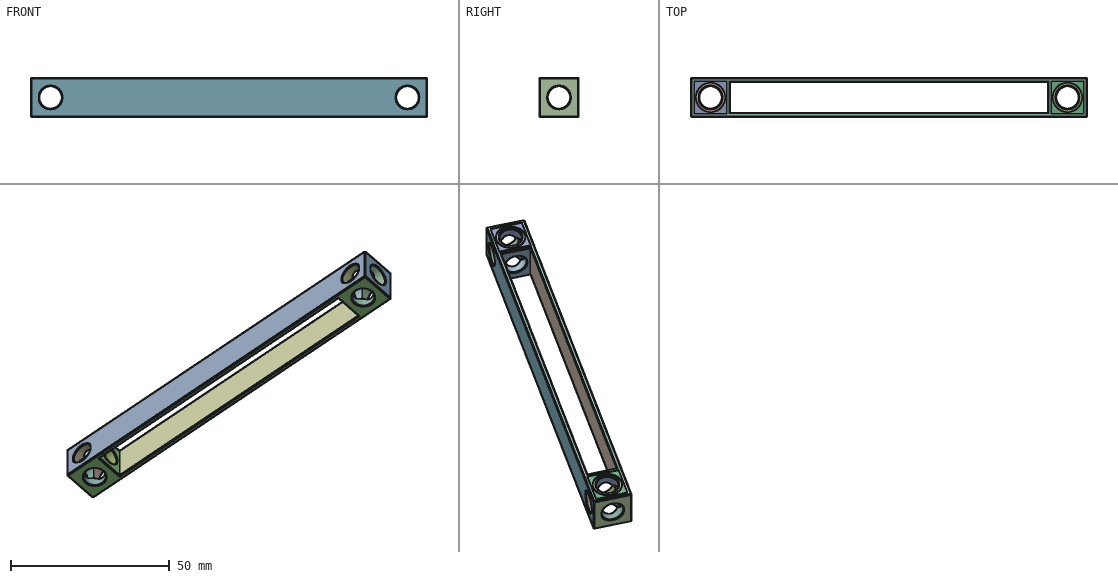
import cadquery as cq

length = 125.0
side = 12.5
edge_chamfer = 0.3

hub_length = side
side_wall = 1.5
window_length = length - 2 * hub_length
window_width = side - 2 * side_wall

hub_centre = (length - hub_length) / 2
bore_diameter = 7.0

recess_side = 10.2
recess_depth = 0.2
collar_diameter = 9.2


def make_window():
    """Window cutter that flares outward at its top and bottom rims."""
    window = cq.Workplane("XY").box(window_length, window_width, side)
    for face_height, inward in ((side / 2, -1), (-side / 2, 1)):
        flare = (
            cq.Workplane("XY", origin=(0, 0, face_height))
            .rect(window_length + 2 * edge_chamfer, window_width + 2 * edge_chamfer)
            .workplane(offset=inward * edge_chamfer)
            .rect(window_length, window_width)
            .loft(ruled=True)
        )
        window = window.union(flare)
    return window


def make_bore():
    """Bore cutter along Z through a hub, with a chamfered mouth at each end."""
    half = side / 2
    radius = bore_diameter / 2
    mouth_radius = radius + edge_chamfer
    profile = [
        (0, -half),
        (mouth_radius, -half),
        (radius, edge_chamfer - half),
        (radius, half - edge_chamfer),
        (mouth_radius, half),
        (0, half),
    ]
    return cq.Workplane("XZ").polyline(profile).close().revolve(360, (0, 0), (0, 1))


def make_recess():
    """Square recess cutter that leaves a round collar flush with the hub top."""
    return (
        cq.Workplane("XY", origin=(0, 0, side / 2))
        .rect(recess_side, recess_side)
        .circle(collar_diameter / 2)
        .extrude(-recess_depth)
    )


def make_hub_cutters():
    """All cutters for one hub, centred on the origin."""
    bore_z = make_bore()
    bore_y = bore_z.rotate((0, 0, 0), (1, 0, 0), 90)
    bore_x = bore_z.rotate((0, 0, 0), (0, 1, 0), 90)
    return [bore_x, bore_y, bore_z, make_recess()]


bar = cq.Workplane("XY").box(length, side, side).edges().chamfer(edge_chamfer)
result = bar.cut(make_window())
for hub_x in (-hub_centre, hub_centre):
    for cutter in make_hub_cutters():
        result = result.cut(cutter.translate((hub_x, 0, 0)))